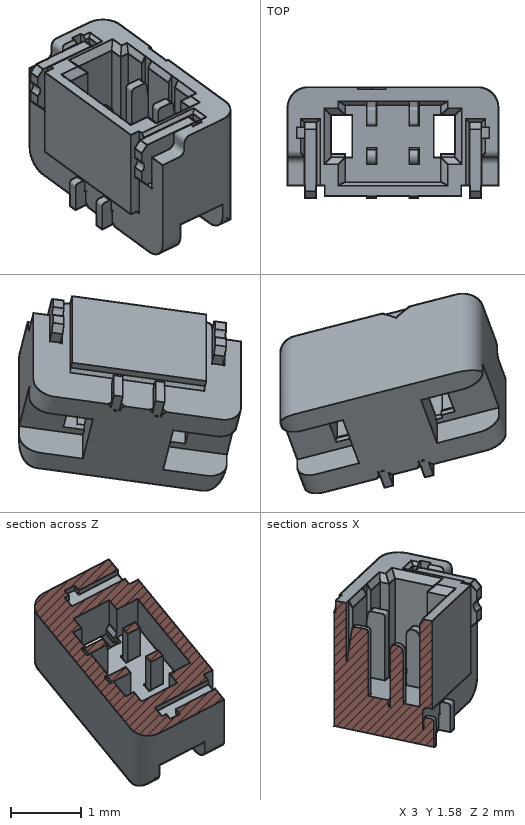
import cadquery as cq


WIDTH = 3.0
DEPTH = 1.4
HEIGHT = 2.0
CORNER_RADIUS = 0.3
Y_BACK = DEPTH / 2
Y_FRONT = -DEPTH / 2
MARGIN = 0.1

PANEL_WIDTH = 1.94
PANEL_THICKNESS = 0.15
PANEL_BOTTOM = 0.6
PANEL_ROOT_CHAMFER = 0.05

MIDDLE_WIDTH = 1.36
MIDDLE_BACK = Y_BACK - 0.26
MIDDLE_FRONT = Y_FRONT + 0.05
MIDDLE_FLARE_BACK = 0.06
MIDDLE_FLARE_FRONT = 0.05
WING_WIDTH = 1.76
WING_BACK = Y_BACK - 0.4
WING_FRONT = Y_BACK - 1.0
FLARE = 0.1
FLARE_DEPTH = 0.1
CAVITY_FLOOR = 0.6

OPENING_INNER_X = 0.58
OPENING_OUTER_X = WING_WIDTH / 2
RIB_THICKNESS = 0.05
RIB_RAMP_HEIGHT = 0.1

RECESS_HEIGHT = 0.5
RECESS_BACK = Y_BACK - CORNER_RADIUS
RECESS_FRONT = Y_BACK - 1.07

PITCH = 0.6
GROOVE_WIDTH = 0.14
CONTACT_WIDTH = 0.13
CONTACT_SEAT = 0.5
CONTACT_SHIFT = (CONTACT_WIDTH - GROOVE_WIDTH) / 2
GROOVE_BACK = MIDDLE_BACK + MIDDLE_FLARE_BACK
REAR_CONTACT_FRONT = Y_BACK - 0.55
REAR_CONTACT_TOP = 1.65
REAR_CONTACT_TIP_BACK = Y_BACK - 0.29
REAR_CONTACT_TAPER_BOTTOM = 1.05
REAR_CONTACT_RADIUS = 0.05
FRONT_HOLE_BACK = Y_BACK - 0.86
FRONT_CONTACT_BACK = Y_BACK - 0.888
FRONT_CONTACT_FRONT = Y_BACK - 1.1
FRONT_CONTACT_TOP = 1.5
FRONT_CONTACT_BACK_RADIUS = 0.095
FRONT_CONTACT_FRONT_RADIUS = 0.115

TAIL_REACH = 0.18
TAIL_HEIGHT = 0.45
TAIL_RADIUS = 0.05
TAIL_GAP = 0.01
TAIL_CHANNEL_DEPTH = 0.1
TAIL_CHANNEL_HEIGHT = 0.25
TAIL_CHANNEL_CHAMFER = 0.05

PLATE_X = 1.172
PLATE_THICKNESS = 0.158
PLATE_BACK = Y_BACK - 0.5
PLATE_FRONT = Y_FRONT - TAIL_REACH
PLATE_TOP = 1.95
PLATE_BOTTOM = 1.25
PLATE_CHAMFER = 0.1
NOTCH_TOP = 1.685
NOTCH_DEEPEST = 1.608
NOTCH_BOTTOM = 1.52
NOTCH_DEPTH = 0.05
SLOT_WIDTH = 0.178
SLOT_FLOOR = 1.15
SLOT_CHAMFER = 0.05
POCKET_OUTER_X = 1.365
POCKET_BACK = Y_BACK - 0.57
POCKET_FRONT = Y_BACK - 0.73

STEP_RADIUS = 0.1
STEP_DROP = 0.3
STEP_BACK = Y_BACK - 0.9

MARK_X = -PITCH / 2
MARK_WIDTH = 0.4
MARK_HEIGHT = 0.2
MARK_DEPTH = 0.03

SIDES = (-1, 1)
CONTACT_CENTRES = (-PITCH / 2, PITCH / 2)


def block(x_range, y_range, z_range):
    """Box between pairs of coordinates given in either order."""
    x0, x1 = sorted(x_range)
    y0, y1 = sorted(y_range)
    z0, z1 = sorted(z_range)
    return cq.Workplane("XY").box(x1 - x0, y1 - y0, z1 - z0, centered=False).translate((x0, y0, z0))


def extrude_along_x(profile, x0, x1):
    """Extrude a closed YZ profile between two X positions."""
    return profile.extrude(abs(x1 - x0)).translate((min(x0, x1), 0, 0))


def flared_pocket(width, y_front, y_back, floor, flare_x, flare_front, flare_back, flare_depth):
    """Rectangular pocket open at the top, with a mouth that widens by its own amount on each side."""
    half = width / 2
    pocket = block((-half, half), (y_front, y_back), (floor, HEIGHT))
    mouth = (
        cq.Workplane("XY", origin=(0, 0, HEIGHT - flare_depth))
        .center(0, (y_front + y_back) / 2)
        .rect(width, y_back - y_front)
        .workplane(offset=flare_depth)
        .center(0, (flare_back - flare_front) / 2)
        .rect(width + 2 * flare_x, y_back - y_front + flare_front + flare_back)
        .loft(ruled=True)
    )
    return pocket.union(mouth)


def housing():
    """Block with rounded vertical back edges and rounded lower side edges."""
    plan = block((-WIDTH / 2, WIDTH / 2), (Y_FRONT, Y_BACK), (0, HEIGHT))
    plan = plan.edges("|Z and >Y").fillet(CORNER_RADIUS)
    elevation = block((-WIDTH / 2, WIDTH / 2), (Y_FRONT, Y_BACK), (0, HEIGHT))
    elevation = elevation.edges("|Y and <Z").fillet(CORNER_RADIUS)
    return plan.intersect(elevation)


def front_panel():
    y_face = Y_FRONT - PANEL_THICKNESS
    profile = (
        cq.Workplane("YZ")
        .moveTo(Y_FRONT, HEIGHT)
        .lineTo(y_face, HEIGHT)
        .lineTo(y_face, PANEL_BOTTOM)
        .lineTo(Y_FRONT - PANEL_ROOT_CHAMFER, PANEL_BOTTOM)
        .lineTo(Y_FRONT, PANEL_BOTTOM - PANEL_ROOT_CHAMFER)
        .close()
    )
    return extrude_along_x(profile, -PANEL_WIDTH / 2, PANEL_WIDTH / 2)


def cavity():
    middle = flared_pocket(
        MIDDLE_WIDTH, MIDDLE_FRONT, MIDDLE_BACK, CAVITY_FLOOR,
        FLARE, MIDDLE_FLARE_FRONT, MIDDLE_FLARE_BACK, FLARE_DEPTH,
    )
    wings = flared_pocket(
        WING_WIDTH, WING_FRONT, WING_BACK, CAVITY_FLOOR, FLARE, FLARE, FLARE, FLARE_DEPTH,
    )
    return middle.union(wings)


def contact_seats(x):
    """Groove up the back wall and the two floor holes that hold one pair of contacts."""
    x_range = (x - GROOVE_WIDTH / 2, x + GROOVE_WIDTH / 2)
    groove = block(x_range, (MIDDLE_BACK, GROOVE_BACK), (CAVITY_FLOOR, HEIGHT))
    rear_hole = block(x_range, (REAR_CONTACT_FRONT, GROOVE_BACK), (CONTACT_SEAT, CAVITY_FLOOR))
    front_hole = block(x_range, (FRONT_CONTACT_FRONT, FRONT_HOLE_BACK), (CONTACT_SEAT, CAVITY_FLOOR))
    return groove.union(rear_hole).union(front_hole)


def floor_opening(side):
    x_range = (side * OPENING_INNER_X, side * OPENING_OUTER_X)
    return block(x_range, (WING_FRONT, WING_BACK), (0, CAVITY_FLOOR))


def opening_rib(side):
    """Rib at the front of a floor opening, with a ramp on top."""
    y_rib = WING_FRONT + RIB_THICKNESS
    profile = (
        cq.Workplane("YZ")
        .moveTo(WING_FRONT, RECESS_HEIGHT)
        .lineTo(y_rib, RECESS_HEIGHT)
        .lineTo(y_rib, CAVITY_FLOOR)
        .lineTo(WING_FRONT, CAVITY_FLOOR + RIB_RAMP_HEIGHT)
        .close()
    )
    return extrude_along_x(profile, side * MIDDLE_WIDTH / 2, side * WING_WIDTH / 2)


def side_recess(side):
    x_range = (side * OPENING_INNER_X, side * WIDTH / 2)
    return block(x_range, (RECESS_FRONT, RECESS_BACK), (0, RECESS_HEIGHT))


def plate_slot(side):
    """Slot open to the front and top, flared at the mouth, with a small pocket on its outer side."""
    slot = flared_pocket(
        SLOT_WIDTH, Y_FRONT - MARGIN, PLATE_BACK, SLOT_FLOOR,
        SLOT_CHAMFER, 0, SLOT_CHAMFER, SLOT_CHAMFER,
    ).translate((side * PLATE_X, 0, 0))
    x_range = (side * PLATE_X, side * POCKET_OUTER_X)
    pocket = block(x_range, (POCKET_FRONT, POCKET_BACK), (SLOT_FLOOR, HEIGHT))
    panel_space = block(
        (-PANEL_WIDTH / 2, PANEL_WIDTH / 2), (Y_FRONT - MARGIN, Y_FRONT), (SLOT_FLOOR, HEIGHT)
    )
    return slot.union(pocket).cut(panel_space)


def side_step(side):
    """Material removed above the S-shaped step, from the plate slot out to the side face."""
    z_low = HEIGHT - STEP_DROP
    y_riser = STEP_BACK - STEP_RADIUS
    profile = (
        cq.Workplane("YZ")
        .moveTo(STEP_BACK, HEIGHT)
        .radiusArc((y_riser, HEIGHT - STEP_RADIUS), -STEP_RADIUS)
        .lineTo(y_riser, z_low + STEP_RADIUS)
        .radiusArc((y_riser - STEP_RADIUS, z_low), STEP_RADIUS)
        .lineTo(Y_FRONT, z_low)
        .lineTo(Y_FRONT, HEIGHT)
        .close()
    )
    return extrude_along_x(profile, side * PLATE_X, side * WIDTH / 2)


def arc_radius(half_chord, depth):
    """Radius of an arc from its half chord and depth."""
    return (half_chord**2 + depth**2) / (2 * depth)


def hold_down_plate(side):
    """Plate lying in its slot, joined to its back wall and projecting past the front."""
    upper_radius = arc_radius(NOTCH_TOP - NOTCH_DEEPEST, NOTCH_DEPTH)
    lower_radius = arc_radius(NOTCH_DEEPEST - NOTCH_BOTTOM, NOTCH_DEPTH)
    profile = (
        cq.Workplane("YZ")
        .moveTo(PLATE_BACK, PLATE_TOP - PLATE_CHAMFER)
        .lineTo(PLATE_BACK - PLATE_CHAMFER, PLATE_TOP)
        .lineTo(PLATE_FRONT + PLATE_CHAMFER, PLATE_TOP)
        .lineTo(PLATE_FRONT, PLATE_TOP - PLATE_CHAMFER)
        .lineTo(PLATE_FRONT, NOTCH_TOP)
        .radiusArc((PLATE_FRONT + NOTCH_DEPTH, NOTCH_DEEPEST), upper_radius)
        .radiusArc((PLATE_FRONT, NOTCH_BOTTOM), lower_radius)
        .lineTo(PLATE_FRONT, PLATE_BOTTOM + PLATE_CHAMFER)
        .lineTo(PLATE_FRONT + PLATE_CHAMFER, PLATE_BOTTOM)
        .lineTo(PLATE_BACK, PLATE_BOTTOM)
        .close()
    )
    x = side * PLATE_X
    return extrude_along_x(profile, x - PLATE_THICKNESS / 2, x + PLATE_THICKNESS / 2)


def contact_post(x, y_front, y_back, z_bottom, z_top, front_radius, back_radius):
    """Upright contact whose top is rounded at the front and back."""
    half = CONTACT_WIDTH / 2
    x_centre = x + CONTACT_SHIFT
    post = block((x_centre - half, x_centre + half), (y_front, y_back), (z_bottom, z_top))
    post = post.faces("<Y").edges(">Z").fillet(front_radius)
    return post.faces(">Y").edges(">Z").fillet(back_radius)


def rear_contact(x):
    """Contact against the groove wall, its back tapering forward to a rounded tip."""
    profile = (
        cq.Workplane("YZ")
        .moveTo(REAR_CONTACT_FRONT, CONTACT_SEAT)
        .lineTo(REAR_CONTACT_FRONT, REAR_CONTACT_TOP)
        .lineTo(REAR_CONTACT_TIP_BACK, REAR_CONTACT_TOP)
        .lineTo(GROOVE_BACK, REAR_CONTACT_TAPER_BOTTOM)
        .lineTo(GROOVE_BACK, CONTACT_SEAT)
        .close()
    )
    half = CONTACT_WIDTH / 2
    x_centre = x + CONTACT_SHIFT
    contact = extrude_along_x(profile, x_centre - half, x_centre + half)
    return contact.faces(">Z").edges("|X").fillet(REAR_CONTACT_RADIUS)


def front_contact(x):
    return contact_post(
        x, FRONT_CONTACT_FRONT, FRONT_CONTACT_BACK, CONTACT_SEAT, FRONT_CONTACT_TOP,
        FRONT_CONTACT_FRONT_RADIUS, FRONT_CONTACT_BACK_RADIUS,
    )


def solder_tail(x):
    """Tail standing against the front face, with a root that fills its channel."""
    tail = contact_post(
        x, Y_FRONT - TAIL_REACH, Y_FRONT - TAIL_GAP, 0, TAIL_HEIGHT, TAIL_RADIUS, TAIL_RADIUS,
    )
    half = CONTACT_WIDTH / 2
    x_centre = x + CONTACT_SHIFT
    root = block(
        (x_centre - half, x_centre + half),
        (Y_FRONT - TAIL_REACH / 2, Y_FRONT + TAIL_CHANNEL_DEPTH),
        (0, TAIL_CHANNEL_HEIGHT),
    )
    return tail.union(root)


def tail_channel(x):
    """Channel behind a solder tail, with its lower front corners cut off diagonally."""
    half = GROOVE_WIDTH / 2
    channel = block(
        (x - half, x + half), (Y_FRONT, Y_FRONT + TAIL_CHANNEL_DEPTH), (0, TAIL_CHANNEL_HEIGHT)
    )
    reach = half + TAIL_CHANNEL_CHAMFER
    left = (x - reach, Y_FRONT, 0)
    right = (x + reach, Y_FRONT, 0)
    upper = (x, Y_FRONT, reach)
    rear = (x, Y_FRONT + reach, 0)
    triangles = [(left, right, upper), (left, right, rear), (left, upper, rear), (right, upper, rear)]
    faces = [cq.Face.makeFromWires(cq.Wire.makePolygon(points, close=True)) for points in triangles]
    corner_cut = cq.Solid.makeSolid(cq.Shell.makeShell(faces))
    return channel.union(cq.Workplane(corner_cut))


def first_contact_mark():
    """Triangle sunk into the top of the back face, pointing down."""
    return (
        cq.Workplane("XZ", origin=(MARK_X, Y_BACK, HEIGHT))
        .moveTo(-MARK_WIDTH / 2, 0)
        .lineTo(MARK_WIDTH / 2, 0)
        .lineTo(0, -MARK_HEIGHT)
        .close()
        .extrude(MARK_DEPTH)
    )


body = housing().union(front_panel()).cut(cavity()).cut(first_contact_mark())

for side in SIDES:
    body = body.cut(floor_opening(side)).cut(side_recess(side))
    body = body.cut(plate_slot(side)).cut(side_step(side))
    body = body.union(opening_rib(side)).union(hold_down_plate(side))

for x in CONTACT_CENTRES:
    body = body.cut(contact_seats(x)).cut(tail_channel(x))
    body = body.union(rear_contact(x)).union(front_contact(x)).union(solder_tail(x))

result = body